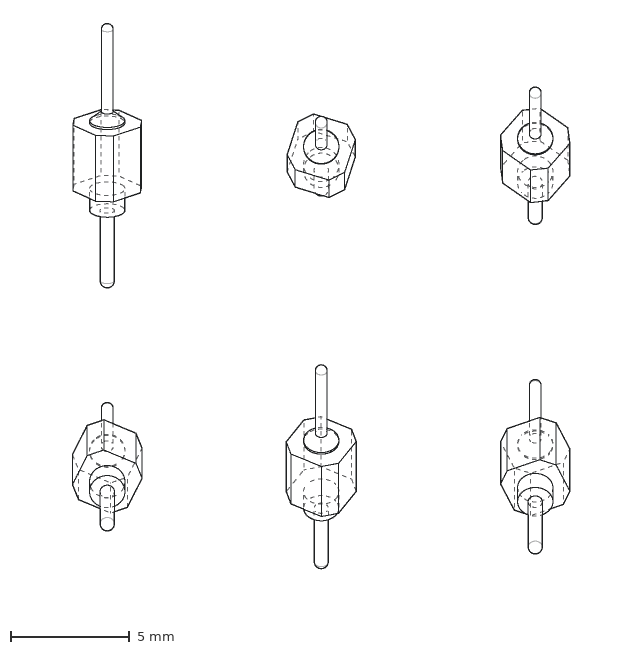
import cadquery as cq

total_height = 12.0
collar_bottom = 3.5
body_bottom = 4.5
body_top = 7.5
cone_bottom = 7.6
cone_top = 8.0

body_width = 2.55
corner_cut = 0.53

lower_pin_radius = 0.3
collar_radius = 0.75
upper_pin_radius = 0.25


def make_body():
    """Square insulator with its four vertical edges chamfered."""
    return (
        cq.Workplane("XY")
        .workplane(offset=body_bottom)
        .rect(body_width, body_width)
        .extrude(body_top - body_bottom)
        .edges("|Z")
        .chamfer(corner_cut)
    )


def make_contact():
    """Turned pin with hemispherical tips, a collar and a conical shoulder."""
    diagonal = 0.5 ** 0.5
    lower_center = lower_pin_radius
    upper_center = total_height - upper_pin_radius
    lower_arc_middle = (lower_pin_radius * diagonal, lower_center - lower_pin_radius * diagonal)
    upper_arc_middle = (upper_pin_radius * diagonal, upper_center + upper_pin_radius * diagonal)
    return (
        cq.Workplane("XZ")
        .moveTo(0, 0)
        .threePointArc(lower_arc_middle, (lower_pin_radius, lower_center))
        .lineTo(lower_pin_radius, collar_bottom)
        .lineTo(collar_radius, collar_bottom)
        .lineTo(collar_radius, cone_bottom)
        .lineTo(upper_pin_radius, cone_top)
        .lineTo(upper_pin_radius, upper_center)
        .threePointArc(upper_arc_middle, (0, total_height))
        .close()
        .revolve(360, (0, 0, 0), (0, 1, 0))
    )


result = make_body().union(make_contact())